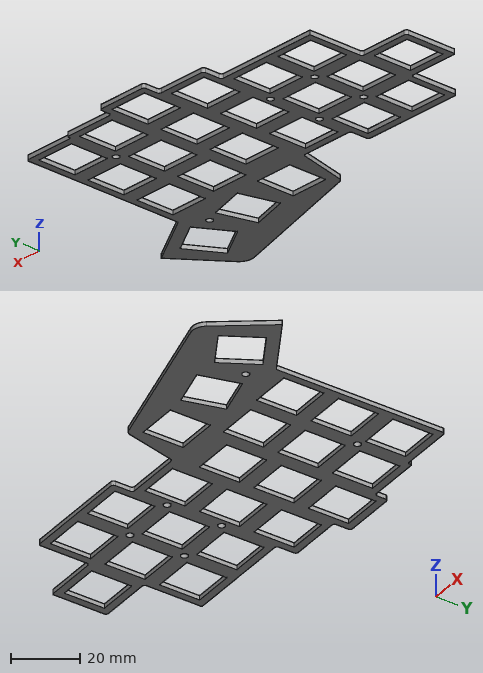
import cadquery as cq
import math

thickness = 1.5
pitch = 19.0
cutout = 14.0
screw_diameter = 2.3

corner_radius = 0.9
step_radius = 0.5
thumb_left_radius = 1.8
heel_radius = 5.0

outer_key_y = 53.5
pinky_y = 54.7
ring_y = 61.7
middle_y = 67.7
index_y = 63.1
inner_y = ring_y
column_heights = [pinky_y, pinky_y, ring_y, middle_y, index_y, inner_y]
keys_per_column = 3
half_column = keys_per_column * pitch / 2

thumb_keys = [
    (91.3, 25.1, 0),
    (112.7, 22.7, 15),
    (135.4, 17.3, 30),
]
thumb_screw = (125.9, 25.6)

thumb_tip = (153.2, 19.8)
thumb_left_x = 77.0
thumb_left_corner = (81.5, 14.5)
heel_corner_x = 138.2
lower_edge_slope = math.tan(math.radians(15))
tip_edge_slope = math.tan(math.radians(30))


def column_left(column):
    """Border between a column and the one to its left."""
    return column * pitch


def column_x(column):
    """Centre line of a column."""
    return column_left(column) + pitch / 2


def make_plate():
    """Plate without openings, from its corners (x, y, radius) clockwise from the outer key."""
    outer_top = outer_key_y + pitch / 2
    outer_bottom = outer_key_y - pitch / 2
    pinky_top = pinky_y + half_column
    pinky_bottom = pinky_y - half_column
    ring_top = ring_y + half_column
    ring_bottom = ring_y - half_column
    middle_top = middle_y + half_column
    index_top = index_y + half_column
    inner_top = inner_y + half_column
    right_side = column_left(len(column_heights) + 1)
    tip_edge_start_y = thumb_tip[1] + (thumb_tip[0] - right_side) * tip_edge_slope
    heel_y = thumb_left_corner[1] - (heel_corner_x - thumb_left_corner[0]) * lower_edge_slope
    corners = [
        (0, outer_bottom, step_radius),
        (0, outer_top, corner_radius),
        (column_left(1), outer_top, corner_radius),
        (column_left(1), pinky_top, 0),
        (column_left(3), pinky_top, corner_radius),
        (column_left(3), ring_top, corner_radius),
        (column_left(4), ring_top, corner_radius),
        (column_left(4), middle_top, corner_radius),
        (column_left(5), middle_top, corner_radius),
        (column_left(5), index_top, corner_radius),
        (column_left(6), index_top, step_radius),
        (column_left(6), inner_top, step_radius),
        (right_side, inner_top, corner_radius),
        (right_side, tip_edge_start_y, 0),
        (*thumb_tip, 0),
        (heel_corner_x, heel_y, heel_radius),
        (*thumb_left_corner, thumb_left_radius),
        (thumb_left_x, ring_bottom, corner_radius),
        (column_left(3), ring_bottom, corner_radius),
        (column_left(3), pinky_bottom, corner_radius),
        (column_left(1), pinky_bottom, corner_radius),
        (column_left(1), outer_bottom, corner_radius),
    ]
    outline = [(x, y) for x, y, radius in corners]
    plate = cq.Workplane("XY").polyline(outline).close().extrude(thickness)
    for x, y, radius in corners:
        if radius > 0:
            at_corner = cq.selectors.NearestToPointSelector((x, y, thickness / 2))
            plate = plate.edges("|Z").edges(at_corner).fillet(radius)
    return plate


def switch_cutter(x, y, clockwise_turn=0):
    """Square prism through the plate for one switch."""
    return (
        cq.Workplane("XY")
        .rect(cutout, cutout)
        .extrude(thickness)
        .rotate((0, 0, 0), (0, 0, 1), -clockwise_turn)
        .translate((x, y, 0))
    )


result = make_plate()

result = result.cut(switch_cutter(column_x(0), outer_key_y))
for column, middle_key_y in enumerate(column_heights, start=1):
    for row in range(keys_per_column):
        key_y = middle_key_y - half_column + (row + 0.5) * pitch
        result = result.cut(switch_cutter(column_x(column), key_y))
for x, y, clockwise_turn in thumb_keys:
    result = result.cut(switch_cutter(x, y, clockwise_turn))

screws = [
    (column_left(column), pinky_y + side * pitch / 2)
    for column in (2, 3)
    for side in (-1, 1)
]
screws.append((column_left(6), index_y + pitch / 2))
screws.append(thumb_screw)
screw_holes = cq.Workplane("XY").pushPoints(screws).circle(screw_diameter / 2).extrude(thickness)
result = result.cut(screw_holes)